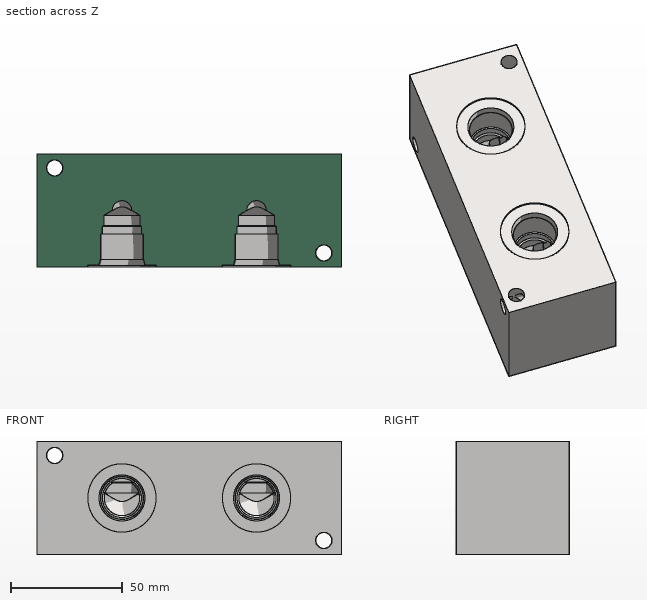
import cadquery as cq
import math

LENGTH = 136.53
WIDTH = 50.8
HEIGHT = 50.8

PORT_INSET = 38.1
SPOTFACE_DIAMETER = 30.63
SPOTFACE_DEPTH = 0.79
SEAT_MOUTH_DIAMETER = 20.62
SEAT_END_DIAMETER = 19.25
SEAT_DEPTH = 2.54
SEAT_END_DEPTH = SPOTFACE_DEPTH + SEAT_DEPTH
THREAD_DIAMETER = 19.05
THREAD_DEPTH = 14.8
TAP_DRILL_DIAMETER = 17.5
TAP_DRILL_DEPTH = 18.2
PILOT_DIAMETER = 15.875
PILOT_DEPTH = 23.2
DRILL_POINT_ANGLE = 118.0

MOUNT_DIAMETER = 7.14
MOUNT_END_INSET = 7.94
MOUNT_EDGE_INSET = 6.35

PORT_X = LENGTH / 2 - PORT_INSET
MOUNT_X = LENGTH / 2 - MOUNT_END_INSET


def port_cutter():
    """Stepped port revolved about Z, with its mouth at Z = 0 and its drill point down."""
    point_slope = 1 / math.tan(math.radians(DRILL_POINT_ANGLE / 2))
    point_length = PILOT_DIAMETER / 2 * point_slope
    shoulder_length = (TAP_DRILL_DIAMETER - PILOT_DIAMETER) / 2 * point_slope
    half_profile = [
        (0, 0),
        (SPOTFACE_DIAMETER / 2, 0),
        (SPOTFACE_DIAMETER / 2, -SPOTFACE_DEPTH),
        (SEAT_MOUTH_DIAMETER / 2, -SPOTFACE_DEPTH),
        (SEAT_END_DIAMETER / 2, -SEAT_END_DEPTH),
        (THREAD_DIAMETER / 2, -SEAT_END_DEPTH),
        (THREAD_DIAMETER / 2, -THREAD_DEPTH),
        (TAP_DRILL_DIAMETER / 2, -THREAD_DEPTH),
        (TAP_DRILL_DIAMETER / 2, -TAP_DRILL_DEPTH),
        (PILOT_DIAMETER / 2, -TAP_DRILL_DEPTH - shoulder_length),
        (PILOT_DIAMETER / 2, -PILOT_DEPTH),
        (0, -PILOT_DEPTH - point_length),
    ]
    return cq.Workplane("XZ").polyline(half_profile).close().revolve(360, (0, 0, 0), (0, 1, 0))


def face_cutters(face_width, depth):
    """Ports and through mounting holes of one face, which lies in the plane Z = 0."""
    mount_y = face_width / 2 - MOUNT_EDGE_INSET
    mount_points = [(-MOUNT_X, mount_y), (MOUNT_X, -mount_y)]
    cutters = (
        cq.Workplane("XY")
        .pushPoints(mount_points)
        .circle(MOUNT_DIAMETER / 2)
        .extrude(-depth)
    )
    for x in (-PORT_X, PORT_X):
        cutters = cutters.add(port_cutter().translate((x, 0, 0)))
    return cutters.combine()


def top_cutters():
    """The face layout raised onto the top face."""
    return face_cutters(WIDTH, HEIGHT).translate((0, 0, HEIGHT / 2))


def front_cutters():
    """The face layout turned so that its Z points out of the front face."""
    turned = face_cutters(HEIGHT, WIDTH).rotate((0, 0, 0), (1, 0, 0), 90)
    return turned.translate((0, -WIDTH / 2, 0))


block = cq.Workplane("XY").box(LENGTH, WIDTH, HEIGHT)
result = block.cut(top_cutters()).cut(front_cutters())